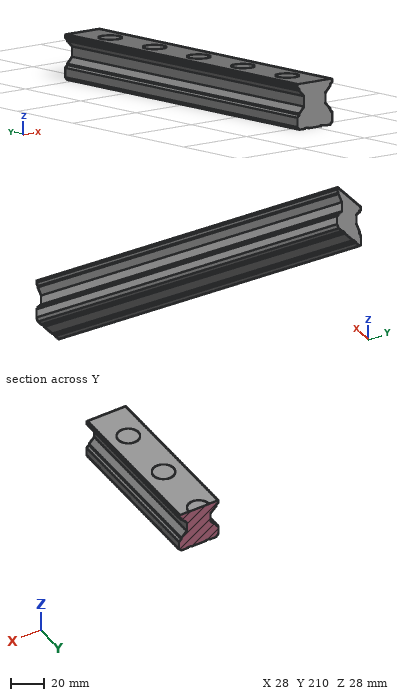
import cadquery as cq

length = 210.0
width = 28.0
height = 28.0

groove_center = 16.8
neck_width = 17.0
ledge_width = 24.5
ledge_inner = 7.0
neck_half_height = ledge_inner - (ledge_width - neck_width) / 2
ledge_outer = 7.8
mouth_half_height = 9.2

top_bevel = 0.6
foot_bevel = 1.9

channel_offset = 6.3
channel_width = 2.7
channel_depth = 0.5

plug_count = 5
plug_end_margin = 25.0
plug_pitch = (length - 2 * plug_end_margin) / (plug_count - 1)
plug_diameter = 14.0
plug_recess = 0.1


def right_half_outline():
    """(x, z) points of the right half of the section, from the foot up to the top."""
    half_width = width / 2
    groove_below = [
        (half_width, -mouth_half_height),
        (ledge_width / 2, -ledge_outer),
        (ledge_width / 2, -ledge_inner),
        (neck_width / 2, -neck_half_height),
    ]
    groove_above = [(x, -z) for x, z in reversed(groove_below)]
    groove = [(x, groove_center + z) for x, z in groove_below + groove_above]
    foot = [(half_width - foot_bevel, 0), (half_width, foot_bevel)]
    head = [(half_width, height - top_bevel), (half_width - top_bevel, height)]
    return foot + groove + head


def rail_body():
    """Bar with the symmetric rail section, centred along Y and standing on Z = 0."""
    right = right_half_outline()
    left = [(-x, z) for x, z in reversed(right)]
    section = cq.Workplane("XZ").polyline(right + left).close()
    return section.extrude(length / 2, both=True)


def relief_channels():
    """Cutters for the two channels along the underside."""
    return (
        cq.Workplane("XY")
        .pushPoints([(-channel_offset, 0), (channel_offset, 0)])
        .rect(channel_width, length)
        .extrude(channel_depth)
    )


def plug_recesses():
    """Cutters for the round plug recesses, evenly spaced along the top."""
    return (
        cq.Workplane("XY", origin=(0, 0, height))
        .rarray(2, plug_pitch, 1, plug_count)
        .circle(plug_diameter / 2)
        .extrude(-plug_recess)
    )


result = rail_body().cut(relief_channels()).cut(plug_recesses())